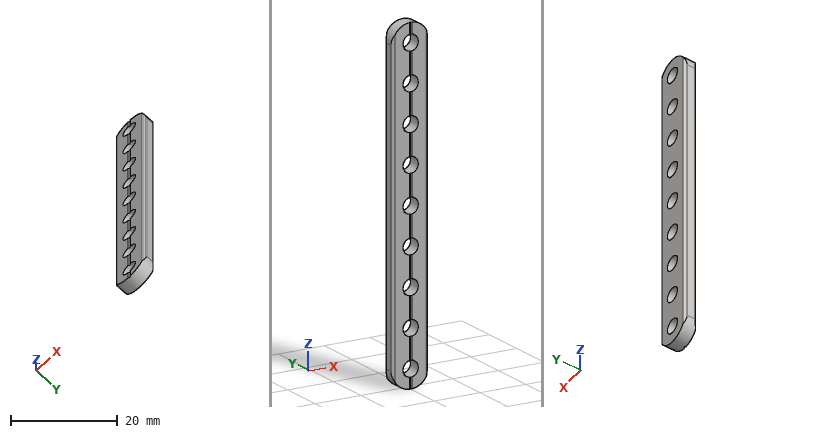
import cadquery as cq

WIDTH = 8.0
THICKNESS = 2.9
HOLE_COUNT = 9
HOLE_PITCH = 8.0
HOLE_DIAMETER = 3.3
EDGE_CHAMFER = 0.55
EDGE_BLEND_RADIUS = 0.3
GROOVE_WIDTH = 0.6
GROOVE_DEPTH = 0.17

HOLE_SPAN = (HOLE_COUNT - 1) * HOLE_PITCH
LENGTH = HOLE_SPAN + WIDTH
FRONT_Y = -THICKNESS / 2


def chamfered_bar():
    """Straight bar along Z whose four long edges are chamfered and then softly blended."""
    bar = cq.Workplane("XY").box(WIDTH, THICKNESS, LENGTH)
    return bar.edges("|Z").chamfer(EDGE_CHAMFER).edges("|Z").fillet(EDGE_BLEND_RADIUS)


def rounded_envelope():
    """Slot-shaped prism that gives the bar its full-round ends."""
    return (
        cq.Workplane("XZ")
        .slot2D(LENGTH, WIDTH, angle=90)
        .extrude(THICKNESS / 2, both=True)
    )


def hole_row():
    """Cylinders for the evenly spaced through holes on the centre line."""
    return (
        cq.Workplane("XZ")
        .rarray(1, HOLE_PITCH, 1, HOLE_COUNT)
        .circle(HOLE_DIAMETER / 2)
        .extrude(THICKNESS, both=True)
    )


def centre_groove():
    """V-shaped prism running the full length of the front face."""
    return (
        cq.Workplane("XY", origin=(0, FRONT_Y, 0))
        .moveTo(-GROOVE_WIDTH / 2, 0)
        .lineTo(GROOVE_WIDTH / 2, 0)
        .lineTo(0, GROOVE_DEPTH)
        .close()
        .extrude(LENGTH, both=True)
    )


result = chamfered_bar().intersect(rounded_envelope()).cut(hole_row()).cut(centre_groove())